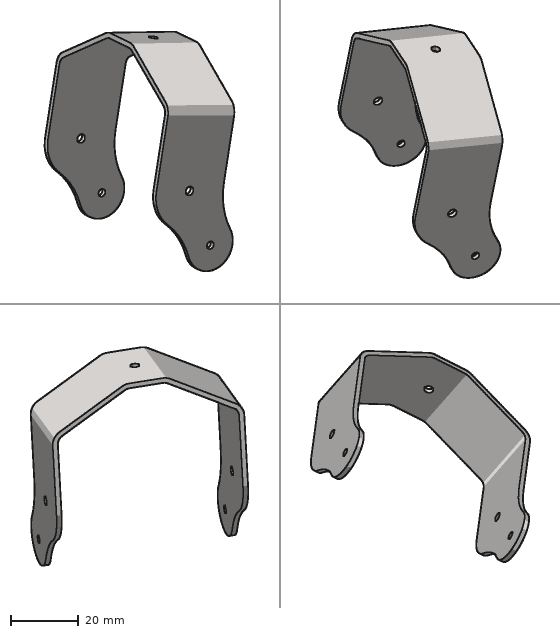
import cadquery as cq
import math


SPAN = 59.5
THICKNESS = 1.6
BRIDGE_HEIGHT = 39.25
BRIDGE_HALF_WIDTH = 6.4
SLOPE_ANGLE = 30.0
BEND_INNER_RADIUS = 3.05
LEAN_ANGLE = 10.2

STRAP_HALF_WIDTH = 12.15
TOE_RADIUS = 8.1
TOE_DISTANCE = 20.0
TOE_ANGLE = 32.1
NECK_RADIUS = 24.0

PIVOT_HOLE_DIAMETER = 2.7
TOE_HOLE_DIAMETER = 2.35
BRIDGE_HOLE_DIAMETER = 2.7

toe_y = TOE_DISTANCE * math.sin(math.radians(TOE_ANGLE))
toe_z = -TOE_DISTANCE * math.cos(math.radians(TOE_ANGLE))
arm_bottom = toe_z - TOE_RADIUS
strip_depth = 2 * (toe_y + TOE_RADIUS)


def polar(center, radius, angle):
    """Point at the given radius and angle (radians) from a center."""
    return (center[0] + radius * math.cos(angle), center[1] + radius * math.sin(angle))


def direction(start, end):
    """Angle in radians of the line from start to end."""
    return math.atan2(end[1] - start[1], end[0] - start[0])


def arch_block(inset, bend_radius):
    """Solid under the bent outline, moved inwards by inset, with rounded bends."""
    slope = math.radians(SLOPE_ANGLE)
    half_span = SPAN / 2 - inset
    half_bridge = BRIDGE_HALF_WIDTH - inset * math.tan(slope / 2)
    bridge_z = BRIDGE_HEIGHT - inset
    shoulder_z = bridge_z - (half_span - half_bridge) * math.tan(slope)
    outline = [
        (-half_span, arm_bottom),
        (-half_span, shoulder_z),
        (-half_bridge, bridge_z),
        (half_bridge, bridge_z),
        (half_span, shoulder_z),
        (half_span, arm_bottom),
    ]
    block = cq.Workplane("XZ").polyline(outline).close().extrude(strip_depth / 2, both=True)
    bends = block.edges("|Y").edges(cq.selectors.BoxSelector(
        (-SPAN, -strip_depth, 0), (SPAN, strip_depth, 2 * BRIDGE_HEIGHT)))
    return bends.fillet(bend_radius)


def arm_outline():
    """Strap, heel and toe joined by tangent arcs, extruded across the full span."""
    pivot = (0.0, 0.0)
    toe = (toe_y, toe_z)
    neck_to_toe = NECK_RADIUS + TOE_RADIUS
    neck_to_pivot = NECK_RADIUS + STRAP_HALF_WIDTH

    back_y = STRAP_HALF_WIDTH + NECK_RADIUS
    back = (back_y, toe_z + math.sqrt(neck_to_toe**2 - (back_y - toe_y) ** 2))
    back_toe_angle = direction(back, toe)
    back_start = (STRAP_HALF_WIDTH, back[1])
    back_mid = polar(back, NECK_RADIUS, (math.pi + back_toe_angle % (2 * math.pi)) / 2)
    back_end = polar(back, NECK_RADIUS, back_toe_angle)

    pivot_corner = math.acos(
        (TOE_DISTANCE**2 + neck_to_pivot**2 - neck_to_toe**2) / (2 * TOE_DISTANCE * neck_to_pivot))
    heel_end_angle = direction(pivot, toe) - pivot_corner
    front = polar(pivot, neck_to_pivot, heel_end_angle)
    front_toe_angle = direction(front, toe)
    front_heel_angle = direction(front, pivot)
    front_start = polar(front, NECK_RADIUS, front_toe_angle)
    front_mid = polar(front, NECK_RADIUS, (front_toe_angle + front_heel_angle) / 2)
    front_end = polar(front, NECK_RADIUS, front_heel_angle)

    toe_mid = (toe_y, arm_bottom)
    heel_mid = polar(pivot, STRAP_HALF_WIDTH, (heel_end_angle % (2 * math.pi) + math.pi) / 2)
    return (
        cq.Workplane("YZ")
        .moveTo(STRAP_HALF_WIDTH, BRIDGE_HEIGHT)
        .lineTo(*back_start)
        .threePointArc(back_mid, back_end)
        .threePointArc(toe_mid, front_start)
        .threePointArc(front_mid, front_end)
        .threePointArc(heel_mid, (-STRAP_HALF_WIDTH, 0))
        .lineTo(-STRAP_HALF_WIDTH, BRIDGE_HEIGHT)
        .close()
        .extrude(SPAN / 2, both=True)
    )


def cross_hole(y, z, diameter):
    """Cutter for a hole along X through both arms."""
    return cq.Workplane("YZ").center(y, z).circle(diameter / 2).extrude(SPAN / 2, both=True)


strip = arch_block(0, BEND_INNER_RADIUS + THICKNESS).cut(arch_block(THICKNESS, BEND_INNER_RADIUS))
yoke = strip.intersect(arm_outline())
yoke = yoke.cut(cross_hole(0, 0, PIVOT_HOLE_DIAMETER))
yoke = yoke.cut(cross_hole(toe_y, toe_z, TOE_HOLE_DIAMETER))
yoke = yoke.cut(cq.Workplane("XY").circle(BRIDGE_HOLE_DIAMETER / 2).extrude(BRIDGE_HEIGHT))

result = yoke.rotate((0, 0, 0), (1, 0, 0), -LEAN_ANGLE)